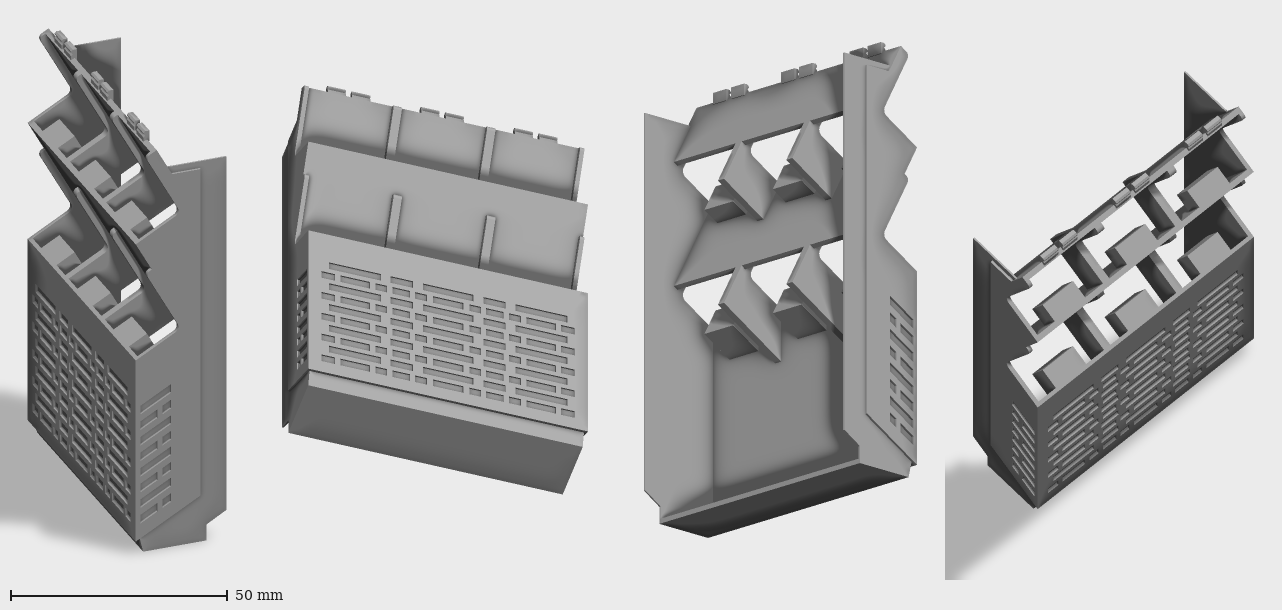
import cadquery as cq
import math

WIDTH = 67.5
HEIGHT = 105.5
DEPTH = 22.8
CHEEK_DEPTH = 16.1
CHEEK_TOP = 96.4
CHEEK_BOTTOM = 3.3
FRONT_WALL = 0.8
FLOOR_THICKNESS = 1.2
INNER_WIDTH = 65.4

SKIRT_WIDTH = 66.2
SKIRT_TOP = 98.1
SKIRT_BOTTOM = 7.0
BASE_FRONT = 2.1
BASE_BACK = 17.8
BASE_BACK_HEIGHT = 4.1
BASE_LIP_DEPTH = 1.2
BASE_LIP_WALL = 3.1
BASE_LIP_TOP = 4.7

LEAN = math.radians(29)
TIER_PITCH = 30.0
LOWER_LEDGE = 50.0
UPPER_LEDGE = LOWER_LEDGE + TIER_PITCH
POCKET_DEPTH = 12.8
SHEET_DEPTH = TIER_PITCH * math.sin(LEAN)
SHEET_THICKNESS = 1.4
SHEET_BACK = SHEET_DEPTH + SHEET_THICKNESS
SHEET_START = 0.6
TIER_RISE = 17.9
POCKET_RADIUS = 1.6
TIP_RADIUS = 1.2

BAY_COUNT = 3
BAY_PITCH = 22.6
DIVIDER_WIDTH = 2.0
DIVIDER_DROP = 11.1
TAB_WIDTH = 9.5
TAB_DEPTH = 6.1
TAB_DROP = 7.4
CLIP_OVERLAP = 6.3

HOOK_WIDTH = 4.4
HOOK_GAP = 1.5
HOOK_BACK = 5.8
HOOK_FRONT = 4.3
HOOK_NOTCH = 0.4
HOOK_NOTCH_TOP = 104.8
HOOK_NOTCH_BOTTOM = 104.3
HOOK_ROOT = 102.7

SLOT_HEIGHT = 2.2
SLOT_RECESS = 0.6
FRONT_SLOT_ROWS = 10
FRONT_SLOT_SPAN = 31.6
SLOT_PITCH = FRONT_SLOT_SPAN / (FRONT_SLOT_ROWS - 1)
FRONT_SLOT_BASE = 38.5
WIDE_ROW = [(-22.5, 12.6), (-11.2, 5.4), (0, 12.2), (11.2, 5.4), (22.5, 12.6)]
NARROW_ROW_HALF = [(28.9, 3.3), (22.5, 7.1), (16.1, 2.8), (11.3, 4.2), (6.5, 2.8)]
NARROW_ROW = [(side * x, w) for side in (-1, 1) for x, w in NARROW_ROW_HALF] + [(0, 7.4)]
SIDE_SLOT_ROWS = 8
SIDE_SLOT_BASE = 35.2
LONG_SIDE_ROW = [(1.2, 8.8)]
SPLIT_SIDE_ROW = [(1.2, 5.4), (6.6, 8.8)]


def tier_point(ledge, depth, rise):
    """(Y, Z) of a point given in the tilted frame of the tier whose ledge is at that height."""
    y = depth * math.cos(LEAN) - rise * math.sin(LEAN)
    z = ledge + depth * math.sin(LEAN) + rise * math.cos(LEAN)
    return (y, z)


def extrude_across(outline, width, center=0.0):
    """Extrude a YZ outline along X, symmetric about the given X."""
    return outline.extrude(width / 2, both=True).translate((center, 0, 0))


def prism(points, width, center=0.0):
    return extrude_across(cq.Workplane("YZ").polyline(points).close(), width, center)


def tier_prism(ledge, corners, width, center=0.0):
    return prism([tier_point(ledge, *corner) for corner in corners], width, center)


def draw_tier_front(outline, ledge):
    """Run from the ledge into the rounded pocket corner and up to the rounded tip."""
    def at(depth, rise):
        return tier_point(ledge, depth, rise)

    pocket_inset = POCKET_RADIUS * (1 - math.sqrt(0.5))
    tip_inset = TIP_RADIUS * (1 - math.sqrt(0.5))
    return (
        outline.lineTo(*at(POCKET_DEPTH - POCKET_RADIUS, 0))
        .threePointArc(at(POCKET_DEPTH - pocket_inset, pocket_inset), at(POCKET_DEPTH, POCKET_RADIUS))
        .lineTo(*at(POCKET_DEPTH, TIER_RISE - TIP_RADIUS))
        .threePointArc(
            at(POCKET_DEPTH + tip_inset, TIER_RISE - tip_inset),
            at(POCKET_DEPTH + TIP_RADIUS, TIER_RISE),
        )
    )


def height_on_slope(y):
    """Height of the cheeks' sloping lower edge."""
    return CHEEK_BOTTOM + y * math.tan(LEAN)


def make_cover(back_depth):
    """Full-width solid inside the cheek outline, reaching back to the given depth."""
    outline = cq.Workplane("YZ").moveTo(0, CHEEK_BOTTOM).lineTo(0, LOWER_LEDGE)
    outline = draw_tier_front(outline, LOWER_LEDGE)
    outline = outline.lineTo(*tier_point(LOWER_LEDGE, SHEET_DEPTH, TIER_RISE)).lineTo(0, UPPER_LEDGE)
    outline = draw_tier_front(outline, UPPER_LEDGE)
    tip = tier_point(UPPER_LEDGE, SHEET_BACK, TIER_RISE)
    shoulder_y = tip[0] + (tip[1] - CHEEK_TOP) * math.tan(LEAN)
    outline = (
        outline.lineTo(*tip)
        .lineTo(shoulder_y, CHEEK_TOP)
        .lineTo(back_depth, CHEEK_TOP)
        .lineTo(back_depth, height_on_slope(back_depth))
        .close()
    )
    return extrude_across(outline, WIDTH)


def make_skirt():
    """Slightly narrower solid reaching the back edge and the base."""
    sheet_foot = tier_point(UPPER_LEDGE, SHEET_DEPTH, SHEET_START)
    sheet_y_at_top = sheet_foot[0] - (SKIRT_TOP - sheet_foot[1]) * math.tan(LEAN)
    return prism(
        [
            (BASE_FRONT, 0),
            (BASE_LIP_DEPTH, height_on_slope(BASE_LIP_DEPTH)),
            (sheet_foot[0], height_on_slope(sheet_foot[0])),
            sheet_foot,
            (sheet_y_at_top, SKIRT_TOP),
            (DEPTH, SKIRT_TOP),
            (DEPTH, SKIRT_BOTTOM),
            (BASE_BACK, BASE_BACK_HEIGHT),
            (BASE_BACK, 0),
        ],
        SKIRT_WIDTH,
    )


def make_cavity():
    """Interior space, open at the back and the top."""
    return prism(
        [
            (BASE_LIP_WALL, FLOOR_THICKNESS),
            (BASE_LIP_WALL, BASE_LIP_TOP),
            (FRONT_WALL, BASE_LIP_TOP),
            (FRONT_WALL, HEIGHT),
            (DEPTH, HEIGHT),
            (DEPTH, FLOOR_THICKNESS),
        ],
        INNER_WIDTH,
    )


def make_divider(ledge, center):
    outline = cq.Workplane("YZ").moveTo(*tier_point(ledge, -CLIP_OVERLAP, 0))
    outline = (
        draw_tier_front(outline, ledge)
        .lineTo(*tier_point(ledge, SHEET_BACK, TIER_RISE))
        .lineTo(*tier_point(ledge, SHEET_BACK, -DIVIDER_DROP))
        .lineTo(*tier_point(ledge, -CLIP_OVERLAP, -DIVIDER_DROP))
        .close()
    )
    return extrude_across(outline, DIVIDER_WIDTH, center)


def make_sheet(ledge, rise):
    corners = [(SHEET_DEPTH, SHEET_START), (SHEET_DEPTH, rise), (SHEET_BACK, rise), (SHEET_BACK, SHEET_START)]
    return tier_prism(ledge, corners, WIDTH)


def make_tab(ledge, center):
    corners = [(-CLIP_OVERLAP, 0), (TAB_DEPTH, 0), (TAB_DEPTH, -TAB_DROP), (-CLIP_OVERLAP, -TAB_DROP)]
    return tier_prism(ledge, corners, TAB_WIDTH, center)


def make_hook(center):
    notch_y = HOOK_FRONT + HOOK_NOTCH
    return prism(
        [
            (HOOK_BACK, HOOK_ROOT),
            (HOOK_BACK, HEIGHT),
            (notch_y, HEIGHT),
            (HOOK_FRONT, HEIGHT - HOOK_NOTCH),
            (HOOK_FRONT, HOOK_NOTCH_TOP),
            (notch_y, HOOK_NOTCH_BOTTOM),
            (HOOK_FRONT, HOOK_NOTCH_BOTTOM - HOOK_NOTCH),
            (HOOK_FRONT, HOOK_ROOT),
        ],
        HOOK_WIDTH,
        center,
    )


def sloped_slot(near_y, far_y, base, height):
    """Outline of a slot that climbs towards the back, given its base height on Y = 0."""
    near_z = base + near_y * math.tan(LEAN)
    far_z = base + far_y * math.tan(LEAN)
    return [(near_y, near_z), (far_y, far_z), (far_y, far_z + height), (near_y, near_z + height)]


def make_front_slots():
    slots = []
    for row in range(FRONT_SLOT_ROWS):
        base = FRONT_SLOT_BASE - row * SLOT_PITCH
        for center, width in (NARROW_ROW if row % 2 else WIDE_ROW):
            slots.append(prism(sloped_slot(0, SLOT_RECESS, base, SLOT_HEIGHT), width, center).val())
    return slots


def make_side_slots():
    """Recesses in both cheeks, rows spaced by the same pitch square to the slope."""
    slots = []
    for row in range(SIDE_SLOT_ROWS):
        base = SIDE_SLOT_BASE - row * SLOT_PITCH / math.cos(LEAN)
        for near_y, far_y in (SPLIT_SIDE_ROW if row % 2 else LONG_SIDE_ROW):
            for side in (-1, 1):
                outline = sloped_slot(near_y, far_y, base, SLOT_HEIGHT)
                slots.append(prism(outline, 2 * SLOT_RECESS, side * WIDTH / 2).val())
    return slots


bay_centers = [(bay - (BAY_COUNT - 1) / 2) * BAY_PITCH for bay in range(BAY_COUNT)]
divider_centers = [center + BAY_PITCH / 2 for center in bay_centers[:-1]]

result = make_cover(CHEEK_DEPTH).union(make_skirt()).cut(make_cavity())

fittings = make_sheet(LOWER_LEDGE, TIER_RISE + TIER_PITCH / 2).union(make_sheet(UPPER_LEDGE, TIER_RISE))
for tier_ledge in (LOWER_LEDGE, UPPER_LEDGE):
    for x in divider_centers:
        fittings = fittings.union(make_divider(tier_ledge, x))
    for x in bay_centers:
        fittings = fittings.union(make_tab(tier_ledge, x))
result = result.union(fittings.intersect(make_cover(DEPTH)))

for x in bay_centers:
    for side in (-1, 1):
        result = result.union(make_hook(x + side * (HOOK_WIDTH + HOOK_GAP) / 2))

result = result.cut(cq.Workplane(cq.Compound.makeCompound(make_front_slots() + make_side_slots())))